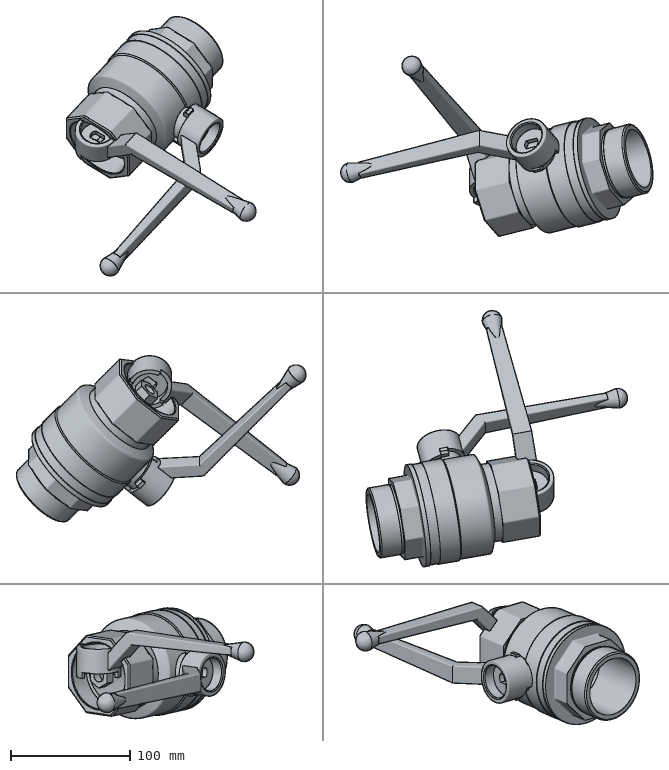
import cadquery as cq
import math

BORE = 50.0
EDGE_BREAK = 1.2

Y_THREAD_RELIEF = 52.9
Y_REAR_OCTAGON = 51.0
Y_FLANGE = 35.2
Y_FLANGE_RELIEF = 31.1
Y_JOINT = 23.0
Y_STEP = 5.7
Y_SHOULDER = -22.5
Y_NECK = -26.2
Y_FRONT_OCTAGON = -33.0
Y_FRONT = -65.4
Y_MOUTH_HANDLE = -65.0

THREAD_DIA = 59.7
RELIEF_DIA = 58.7
BAND_DIA = 87.0
WAIST_DIA = 86.0
BARREL_DIA = 85.0
SHOULDER_RADIUS = 2.1
OCTAGON = 66.0
OCTAGON_EDGE_RADIUS = 2.4
SOCKET_DIA = 56.6
SOCKET_DEPTH = 18.9
SOCKET_CHAMFER = 0.7

HUB_DIA = 37.0
HUB_HEIGHT = 25.5
HUB_RIM_RADIUS = 1.0
CUP_DIA = 28.0
CUP_CHAMFER = 1.0
FLOOR_TOP = 15.3
RECESS_DEPTH = 10.5
NOTCH_DEPTH = 5.2
REAR_NOTCH_EDGE = 5.2
STEM_HOLE_DIA = 12.3
STEM_HOLE_FLATS = 8.0

ARM_START = 15.3
ARM_TOP = 42.2
ARM_TOP_BEND = 35.5
ARM_LOW_BEND = 41.5
ARM_LOW_BEND_HEIGHT = 32.0
ARM_END = 147.5
ARM_END_LOW = 35.5
ARM_ROOT_WIDTH = 16.0
ARM_END_WIDTH = 13.0
KNOB_DIA = 16.8
KNOB_CENTRE = 156.5
KNOB_HEIGHT = 38.7
KNOB_CONE_START = 129.8
KNOB_CONE_START_DIA = 4.7

BOSS_DIA = 30.0
BOSS_START = 33.0
HUB_BASE_X = 44.1
LUG_SPAN = 40.8
LUG_WIDTH = 6.8
LUG_CHAMFER = 2.1

OVERALL_LENGTH = 236.0
Y_THREAD_END = OVERALL_LENGTH - (KNOB_CENTRE + KNOB_DIA / 2)

NUT_FLATS = 18.0
NUT_HOLE = 10.1
NUT_HEIGHT = 8.0


def revolve_about_bore(points):
    """Solid of revolution about Y from (radius, y) points."""
    axis_start, axis_end = (0, 0, 0), (0, 1, 0)
    return cq.Workplane("XY").polyline(points).close().revolve(360, axis_start, axis_end)


def bore_cylinder(diameter, y_low, y_high):
    plane = cq.Workplane("XZ", origin=(0, y_high, 0))
    return plane.circle(diameter / 2).extrude(y_high - y_low)


def octagon_prism(y_low, y_high):
    """Octagonal spanner section with softened corners and flats facing X and Z."""
    across_corners = OCTAGON / math.cos(math.pi / 8)
    prism = (
        cq.Workplane("XZ", origin=(0, y_high, 0))
        .transformed(rotate=(0, 0, 22.5))
        .polygon(8, across_corners)
        .extrude(y_high - y_low)
    )
    return prism.edges("|Y").fillet(OCTAGON_EDGE_RADIUS)


def make_connector():
    """Male-threaded end with its octagon and flange."""
    thread = revolve_about_bore([
        (0, Y_THREAD_END),
        (THREAD_DIA / 2 - EDGE_BREAK, Y_THREAD_END),
        (THREAD_DIA / 2, Y_THREAD_END - EDGE_BREAK),
        (THREAD_DIA / 2, Y_THREAD_RELIEF),
        (RELIEF_DIA / 2, Y_THREAD_RELIEF),
        (RELIEF_DIA / 2, Y_REAR_OCTAGON),
        (0, Y_REAR_OCTAGON),
    ])
    flange = bore_cylinder(BAND_DIA, Y_FLANGE_RELIEF, Y_FLANGE)
    waist = bore_cylinder(WAIST_DIA, Y_JOINT, Y_FLANGE_RELIEF)
    octagon = octagon_prism(Y_FLANGE, Y_REAR_OCTAGON)
    solid = octagon.union(flange)
    root_edge = cq.selectors.NearestToPointSelector((0, Y_FLANGE, OCTAGON / 2))
    solid = solid.edges(root_edge).fillet(EDGE_BREAK)
    return solid.union(waist).union(thread).cut(bore_cylinder(BORE, Y_JOINT, Y_THREAD_END))


def make_stem_boss():
    """Boss for the handle, with two opposite stop lugs."""
    boss_end = HUB_BASE_X + RECESS_DEPTH
    boss = (
        cq.Workplane("YZ", origin=(BOSS_START, 0, 0))
        .circle(BOSS_DIA / 2)
        .extrude(boss_end - BOSS_START)
    )
    lugs = (
        cq.Workplane("YZ", origin=(HUB_BASE_X, 0, 0))
        .rect(LUG_WIDTH, LUG_SPAN)
        .extrude(NOTCH_DEPTH)
        .faces("<X").edges("|Y").chamfer(LUG_CHAMFER)
    )
    return boss.union(lugs)


def make_body():
    """Barrel with its female octagonal end and the stem boss."""
    step_chamfer = (BAND_DIA - BARREL_DIA) / 2
    barrel = revolve_about_bore([
        (0, Y_JOINT),
        (BAND_DIA / 2, Y_JOINT),
        (BAND_DIA / 2, Y_STEP),
        (BARREL_DIA / 2, Y_STEP - step_chamfer),
        (BARREL_DIA / 2, Y_SHOULDER),
        (OCTAGON / 2, Y_NECK),
        (OCTAGON / 2, Y_FRONT_OCTAGON),
        (0, Y_FRONT_OCTAGON),
    ])
    shoulder_edge = cq.selectors.NearestToPointSelector((0, Y_SHOULDER, 0))
    barrel = barrel.edges(shoulder_edge).fillet(SHOULDER_RADIUS)
    octagon = octagon_prism(Y_FRONT, Y_FRONT_OCTAGON).faces("<Y").edges().chamfer(EDGE_BREAK)
    socket_floor = Y_FRONT + SOCKET_DEPTH
    mouth = SOCKET_DIA / 2 + SOCKET_CHAMFER
    cavity = revolve_about_bore([
        (0, Y_JOINT),
        (BORE / 2, Y_JOINT),
        (BORE / 2, socket_floor),
        (SOCKET_DIA / 2, socket_floor),
        (SOCKET_DIA / 2, Y_FRONT + SOCKET_CHAMFER),
        (mouth, Y_FRONT),
        (0, Y_FRONT),
    ])
    return barrel.union(octagon).union(make_stem_boss()).cut(cavity)


def make_arm():
    """Cranked, tapering lever arm along +X, ending in a ball-ended knob."""
    hub_radius = HUB_DIA / 2
    top_root = ARM_TOP - (ARM_TOP_BEND - ARM_START)
    low_root = ARM_LOW_BEND_HEIGHT - (ARM_LOW_BEND - ARM_START)
    side = (
        cq.Workplane("XZ")
        .polyline([
            (ARM_START, top_root),
            (ARM_TOP_BEND, ARM_TOP),
            (ARM_END, ARM_TOP),
            (ARM_END, ARM_END_LOW),
            (ARM_LOW_BEND, ARM_LOW_BEND_HEIGHT),
            (ARM_START, low_root),
        ])
        .close()
        .extrude(hub_radius, both=True)
    )
    plan = (
        cq.Workplane("XY")
        .polyline([
            (ARM_START, -ARM_ROOT_WIDTH / 2),
            (ARM_END, -ARM_END_WIDTH / 2),
            (ARM_END, ARM_END_WIDTH / 2),
            (ARM_START, ARM_ROOT_WIDTH / 2),
        ])
        .close()
        .extrude(ARM_TOP)
    )
    bar = side.intersect(plan)
    bar = bar.edges("not (|Y or |Z)").fillet(EDGE_BREAK)
    knob = (
        cq.Workplane("XZ")
        .moveTo(KNOB_CONE_START, KNOB_HEIGHT)
        .lineTo(KNOB_CONE_START, KNOB_HEIGHT + KNOB_CONE_START_DIA / 2)
        .lineTo(KNOB_CENTRE, KNOB_HEIGHT + KNOB_DIA / 2)
        .radiusArc((KNOB_CENTRE + KNOB_DIA / 2, KNOB_HEIGHT), KNOB_DIA / 2)
        .close()
        .revolve(360, (0, KNOB_HEIGHT, 0), (1, KNOB_HEIGHT, 0))
    )
    return bar.union(knob)


def make_hub():
    """Cupped hub with a stepped underside that clears the stop lugs."""
    hub = cq.Workplane("XY").circle(HUB_DIA / 2).extrude(HUB_HEIGHT)
    hub = hub.faces(">Z").edges().fillet(HUB_RIM_RADIUS)
    cup = cq.Workplane("XY", origin=(0, 0, FLOOR_TOP)).circle(CUP_DIA / 2).extrude(HUB_HEIGHT)
    cup_mouth = (
        cq.Workplane("XY", origin=(0, 0, HUB_HEIGHT - CUP_CHAMFER))
        .circle(CUP_DIA / 2)
        .workplane(offset=CUP_CHAMFER)
        .circle(CUP_DIA / 2 + CUP_CHAMFER)
        .loft()
    )
    recess = cq.Workplane("XY").circle(BOSS_DIA / 2).extrude(RECESS_DEPTH)
    stem_hole = cq.Workplane("XY").circle(STEM_HOLE_DIA / 2).extrude(HUB_HEIGHT)
    flats = cq.Workplane("XY").rect(STEM_HOLE_DIA, STEM_HOLE_FLATS).extrude(HUB_HEIGHT)
    hub = hub.cut(cup).cut(cup_mouth).cut(recess).cut(stem_hole.intersect(flats))
    front_notch = (
        cq.Workplane("XY")
        .moveTo(-LUG_WIDTH / 2, LUG_WIDTH / 2)
        .lineTo(HUB_DIA, LUG_WIDTH / 2)
        .lineTo(HUB_DIA, -HUB_DIA)
        .lineTo(-LUG_WIDTH / 2, -HUB_DIA)
        .close()
        .extrude(NOTCH_DEPTH)
    )
    rear_notch = (
        cq.Workplane("XY")
        .moveTo(LUG_WIDTH / 2, REAR_NOTCH_EDGE)
        .lineTo(-HUB_DIA, REAR_NOTCH_EDGE)
        .lineTo(-HUB_DIA, HUB_DIA)
        .lineTo(LUG_WIDTH / 2, HUB_DIA)
        .close()
        .extrude(NOTCH_DEPTH)
    )
    hub = hub.cut(front_notch).cut(rear_notch)
    return hub


def make_handle():
    """Handle with its hub axis on Z, base at Z = 0 and arm along +X."""
    return make_hub().union(make_arm())


def make_nut():
    """Hexagon nut on the bore axis, one corner down, under the hub in the mouth."""
    across_corners = NUT_FLATS / math.cos(math.pi / 6)
    return (
        cq.Workplane("XZ", origin=(0, Y_MOUTH_HANDLE + NUT_HEIGHT, 0))
        .transformed(rotate=(0, 0, 30))
        .polygon(6, across_corners)
        .circle(NUT_HOLE / 2)
        .extrude(NUT_HEIGHT)
    )


stem_plane = cq.Plane(origin=(HUB_BASE_X, 0, 0), xDir=(0, -1, 0), normal=(1, 0, 0))
mouth_plane = cq.Plane(origin=(0, Y_MOUTH_HANDLE, 0), xDir=(1, 0, 0), normal=(0, 0, 1))
handles = []
for plane in (stem_plane, mouth_plane):
    handles.append(make_handle().val().moved(plane.location))
mouth_handle = handles[1]

connector = make_connector()
body = make_body().cut(cq.Workplane(mouth_handle))
nut = make_nut()

result = cq.Compound.makeCompound([body.val(), connector.val(), nut.val(), *handles])